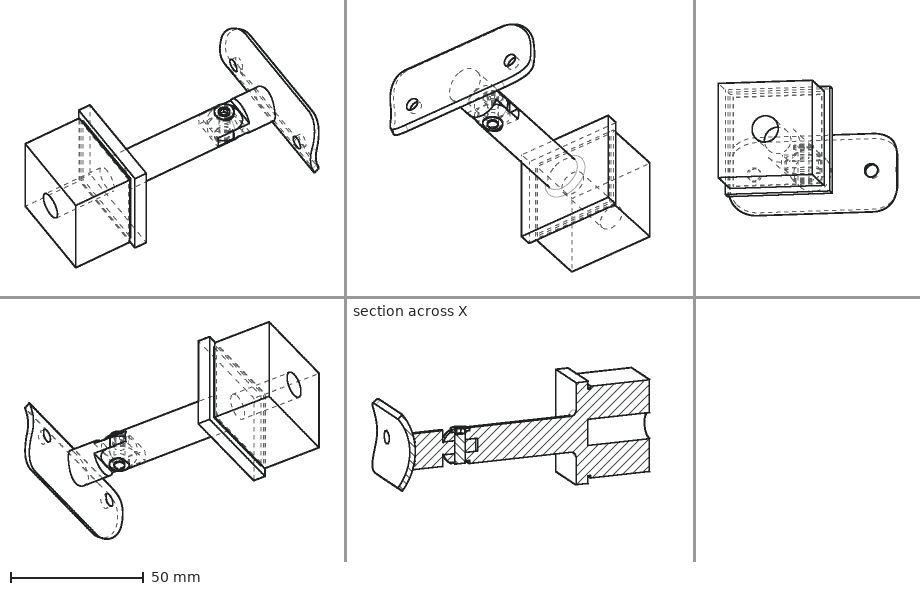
import cadquery as cq
import math

overall_length = 102.4

plug_width = 36.0
plug_length = 24.0
groove_width = 34.0
groove_length = 1.0
flange_width = 40.0
flange_length = 5.0
flange_end = plug_length + groove_length + flange_length
bore_diameter = 10.0
bore_depth = plug_length + groove_length

stem_diameter = 14.2
stem_radius = stem_diameter / 2
stem_end = 84.0
dome_radius = 6.4
foot_radius = 2.0
slot_bottom = 70.0
tongue_thickness = 4.8

pivot_y = 77.0
tongue_end_radius = 6.4
shank_diameter = 4.1
head_diameter = 7.6
seat_height = 5.9
screw_head_top = 7.0
collar_face = 6.3
shank_tip = 6.8
recess_diameter = 4.3
recess_depth = 0.3
socket_across_flats = 2.9
socket_depth = 2.0

saddle_length = 64.5
saddle_width = 30.0
saddle_outer_radius = 23.7
saddle_thickness = 2.5
saddle_inner_radius = saddle_outer_radius - saddle_thickness
saddle_corner_radius = 10.0
saddle_hole_diameter = 5.0
saddle_hole_x = 22.5
saddle_half_angle = math.asin(saddle_width / 2 / saddle_outer_radius)
saddle_center_y = overall_length + saddle_inner_radius * math.cos(saddle_half_angle)


def cylinder_y(diameter, start, end):
    """Round bar on the Y axis between two Y positions."""
    return cq.Workplane("XZ", origin=(0, start, 0)).circle(diameter / 2).extrude(start - end)


def square_y(width, start, length):
    """Square block centred on the Y axis."""
    return cq.Workplane("XZ", origin=(0, start, 0)).rect(width, width).extrude(-length)


def pivot_cylinder(diameter, bottom, top):
    """Round bar on the hinge axis between two heights."""
    return cq.Workplane("XY", origin=(0, pivot_y, bottom)).circle(diameter / 2).extrude(top - bottom)


def make_post():
    """Square base and forked stem in one piece."""
    base = square_y(plug_width, 0, plug_length)
    base = base.union(square_y(groove_width, plug_length, groove_length))
    base = base.union(square_y(flange_width, plug_length + groove_length, flange_length))
    stem = cylinder_y(stem_diameter, flange_end, stem_end).faces(">Y").edges().fillet(dome_radius)

    flare = (
        cq.Workplane("XY")
        .moveTo(0, flange_end)
        .lineTo(stem_radius + foot_radius, flange_end)
        .radiusArc((stem_radius, flange_end + foot_radius), foot_radius)
        .lineTo(0, flange_end + foot_radius)
        .close()
        .revolve(360, (0, 0, 0), (0, 1, 0))
    )

    slot_length = stem_end - slot_bottom
    slot = cq.Workplane("XY").box(stem_diameter, slot_length, tongue_thickness)
    slot = slot.translate((0, slot_bottom + slot_length / 2, 0))

    post = base.union(stem).union(flare).cut(slot)
    post = post.cut(cylinder_y(bore_diameter, 0, bore_depth))
    post = post.cut(pivot_cylinder(shank_diameter, -stem_radius, stem_radius))
    post = post.cut(pivot_cylinder(head_diameter, seat_height, stem_radius))
    return post.cut(pivot_cylinder(head_diameter, -stem_radius, -seat_height))


def make_saddle_plate():
    """Cylindrical plate with radial long edges, rounded corners and two screw holes."""
    def arc_point(radius, angle):
        return (saddle_center_y - radius * math.cos(angle), radius * math.sin(angle))

    plate = (
        cq.Workplane("YZ", origin=(-saddle_length / 2, 0, 0))
        .moveTo(*arc_point(saddle_outer_radius, -saddle_half_angle))
        .threePointArc(
            arc_point(saddle_outer_radius, 0),
            arc_point(saddle_outer_radius, saddle_half_angle),
        )
        .lineTo(*arc_point(saddle_inner_radius, saddle_half_angle))
        .threePointArc(
            arc_point(saddle_inner_radius, 0),
            arc_point(saddle_inner_radius, -saddle_half_angle),
        )
        .close()
        .extrude(saddle_length)
    )
    plate = plate.faces("<X or >X").edges("%LINE").fillet(saddle_corner_radius)
    holes = (
        cq.Workplane("XZ", origin=(0, stem_end, 0))
        .pushPoints([(-saddle_hole_x, 0), (saddle_hole_x, 0)])
        .circle(saddle_hole_diameter / 2)
        .extrude(stem_end - overall_length)
    )
    return plate.cut(holes)


def make_knuckle():
    """Round neck, hollowed to fit the back of the saddle, with a flat hinge tongue."""
    neck = cylinder_y(stem_diameter, stem_end, overall_length)
    saddle_back = (
        cq.Workplane("YZ", origin=(-saddle_length / 2, 0, 0))
        .center(saddle_center_y, 0)
        .circle(saddle_outer_radius)
        .extrude(saddle_length)
    )
    neck = neck.cut(saddle_back)

    tongue_length = stem_end - pivot_y
    tongue_slab = cq.Workplane("XY").box(stem_diameter, tongue_length, tongue_thickness)
    tongue_slab = tongue_slab.translate((0, pivot_y + tongue_length / 2, 0))
    tongue = cylinder_y(stem_diameter, pivot_y, stem_end).intersect(tongue_slab)
    tongue_end = pivot_cylinder(2 * tongue_end_radius, -tongue_thickness / 2, tongue_thickness / 2)

    knuckle = neck.union(tongue).union(tongue_end)
    return knuckle.cut(pivot_cylinder(shank_diameter, -stem_radius, stem_radius))


def make_screw():
    """Hinge screw with a head, a collar at the tip and a hexagon socket in a round recess."""
    screw = pivot_cylinder(shank_diameter, -shank_tip, seat_height)
    screw = screw.union(pivot_cylinder(head_diameter, seat_height, screw_head_top))
    screw = screw.union(pivot_cylinder(head_diameter, -collar_face, -seat_height))
    screw = screw.cut(pivot_cylinder(recess_diameter, screw_head_top - recess_depth, screw_head_top))
    socket = (
        cq.Workplane("XY", origin=(0, pivot_y, screw_head_top))
        .polygon(6, socket_across_flats, circumscribed=True)
        .extrude(-socket_depth)
    )
    return screw.cut(socket)


post = make_post()
saddle_plate = make_saddle_plate()
knuckle = make_knuckle()
screw = make_screw()

result = cq.Compound.makeCompound([post.val(), saddle_plate.val(), knuckle.val(), screw.val()])